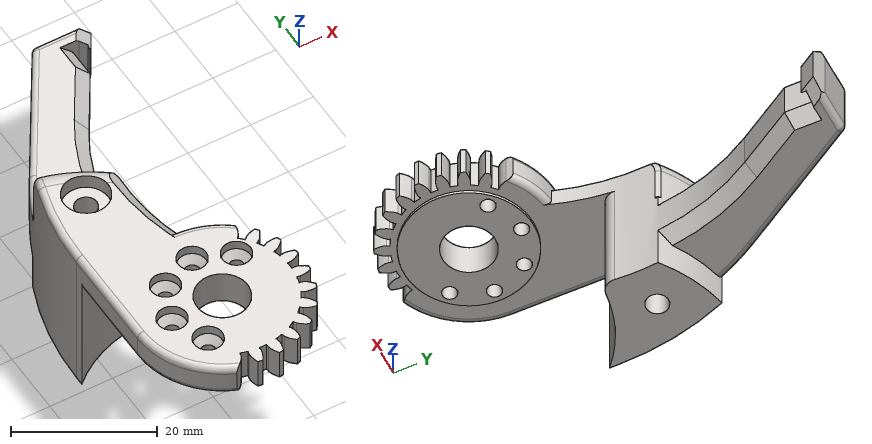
import cadquery as cq
import math

PLATE_T = 5.0
BOSS_BOTTOM = -5.5
FINGER_TOP = -9.9
FINGER_BOTTOM = -19.4
BLOCK_BOTTOM = -24.5

MODULE = 1.0
TEETH = 24
PRESSURE_ANGLE = math.radians(20)
PITCH_R = MODULE * TEETH / 2
TIP_R = PITCH_R + MODULE
DEDENDUM = 1.25 * MODULE
ROOT_R = PITCH_R - DEDENDUM
BASE_R = PITCH_R * math.cos(PRESSURE_ANGLE)
TOOTH_PITCH = 360 / TEETH
FLANK_POINTS = 5
SECTOR_START = -7.5 * TOOTH_PITCH
SECTOR_END = 3.5 * TOOTH_PITCH

CHEEK_R = 13.5
BORE_D = 8.0
BOSS_D = 19.6
SCREW_CIRCLE_R = 8.0
SCREW_ANGLES = (45, 90, 135, 180, 225)
SCREW_D = 2.2
SCREW_HEAD_D = 4.4
SCREW_HEAD_DEPTH = 1.5
SCREW_CONE_DEPTH = (SCREW_HEAD_D - SCREW_D) / 2

FINGER_LEAN = math.radians(32)
BACK_ARC_START_Y = 16.2
BACK_ARC_R = 45.0
BACK_ARC_CX = BACK_ARC_R - CHEEK_R

INNER_ARC_R = 37.0
INNER_ARC_CX = 36.9
INNER_ARC_CY = 24.9

TIP_Y = 60.0
TIP_BEVEL_X = 12.4
TIP_X = 14.86
NOTCH_LEFT_X = 10.95
NOTCH_TOP_Y = 57.85
NOTCH_BEND_X = 11.97
HOOK_THROAT = (13.25, 57.6)
BARB_POINT = (13.07, 56.75)

NEAR_END_R = 20.0
FAR_END_R = 25.0
FAR_END_CX = -15.4
FAR_END_CY = 9.1
FAR_TOP_ROUND = 4.0
BOLT_X = -6.35
BOLT_Y = 25.5
BOLT_D = 3.4
BOLT_HEAD_D = 7.0
BOLT_HEAD_DEPTH = 2.5
NEAR_CORNER_R = 2.0
FAR_CORNER_BEVEL = 0.5

BACK_ROUND = 1.0
INNER_BEVEL = 2.0
FINGER_ROOT_Y = 24.0

NOTCH_REACH = 8.0
CLEAR = 100.0
TOLERANCE = 0.01


def half_tooth(radius):
    """Half of a tooth's angular width, in degrees, where its involute flanks reach this radius."""
    half_at_base = math.pi / (2 * TEETH) + math.tan(PRESSURE_ANGLE) - PRESSURE_ANGLE
    roll = math.sqrt(max((radius / BASE_R) ** 2 - 1, 0))
    return math.degrees(half_at_base - (roll - math.atan(roll)))


TEETH_START = SECTOR_START + half_tooth(CHEEK_R - BACK_ROUND)
TEETH_END = SECTOR_END - half_tooth(CHEEK_R - BACK_ROUND)


def polar(radius, degrees, cx=0.0, cy=0.0):
    angle = math.radians(degrees)
    return (cx + radius * math.cos(angle), cy + radius * math.sin(angle))


def back_arc(lean):
    return (
        BACK_ARC_CX - BACK_ARC_R * math.cos(lean),
        BACK_ARC_START_Y + BACK_ARC_R * math.sin(lean),
    )


def inner_arc(lean):
    return (
        INNER_ARC_CX - INNER_ARC_R * math.cos(lean),
        INNER_ARC_CY + INNER_ARC_R * math.sin(lean),
    )


def along_finger_to_y(start, y):
    return (start[0] + (y - start[1]) * math.tan(FINGER_LEAN), y)


def along_finger_to_x(start, x):
    return (x, start[1] + (x - start[0]) / math.tan(FINGER_LEAN))


def cheek_meets_inner_arc():
    """Lean angle at which the inner arc crosses the cheek circle, and the crossing's polar angle."""
    distance = math.hypot(INNER_ARC_CX, INNER_ARC_CY)
    to_inner = math.atan2(INNER_ARC_CY, INNER_ARC_CX)
    cosine = (CHEEK_R**2 + distance**2 - INNER_ARC_R**2) / (2 * CHEEK_R * distance)
    polar_angle = to_inner + math.acos(cosine)
    y = CHEEK_R * math.sin(polar_angle)
    return math.asin((y - INNER_ARC_CY) / INNER_ARC_R), math.degrees(polar_angle)


def prism(outline, bottom, top):
    return outline.extrude(top - bottom).translate((0, 0, bottom))


def cylinder(radius, bottom, top, cx=0.0, cy=0.0):
    return prism(cq.Workplane("XY").center(cx, cy).circle(radius), bottom, top)


def edges_where(solid, accept):
    """Edges whose midpoint is accepted."""
    picked = [e for e in solid.edges().vals() if accept(e.positionAt(0.5))]
    return solid.newObject(picked)


def on_circle(p, radius, cx=0.0, cy=0.0):
    return abs(math.hypot(p.x - cx, p.y - cy) - radius) < TOLERANCE


def at_level(p, z):
    return abs(p.z - z) < TOLERANCE


def on_back(p):
    """True on the rim of the cheek and on the back edge up to the finger's straight stretch."""
    if p.y < BACK_ARC_START_Y:
        return on_circle(p, CHEEK_R) or abs(p.x + CHEEK_R) < TOLERANCE
    return on_circle(p, BACK_ARC_R, BACK_ARC_CX, BACK_ARC_START_Y)


def on_inner_arc(p):
    return on_circle(p, INNER_ARC_R, INNER_ARC_CX, INNER_ARC_CY)


def body_outline():
    crossing_lean, crossing_angle = cheek_meets_inner_arc()
    return (
        cq.Workplane("XY")
        .moveTo(-CHEEK_R, 0)
        .lineTo(-CHEEK_R, BACK_ARC_START_Y)
        .threePointArc(back_arc(FINGER_LEAN / 2), back_arc(FINGER_LEAN))
        .lineTo(*inner_arc(FINGER_LEAN))
        .threePointArc(inner_arc((FINGER_LEAN + crossing_lean) / 2), inner_arc(crossing_lean))
        .threePointArc(polar(CHEEK_R, (crossing_angle + SECTOR_END) / 2), polar(CHEEK_R, SECTOR_END))
        .lineTo(*polar(CHEEK_R - BACK_ROUND, TEETH_END))
        .lineTo(0, 0)
        .lineTo(*polar(CHEEK_R - BACK_ROUND, TEETH_START))
        .lineTo(*polar(CHEEK_R, SECTOR_START))
        .threePointArc(polar(CHEEK_R, (SECTOR_START - 180) / 2), (-CHEEK_R, 0))
        .close()
    )


def beyond_far_end():
    slab = prism(
        cq.Workplane("XY").center(0, FINGER_ROOT_Y + CLEAR / 2).rect(CLEAR, CLEAR), BLOCK_BOTTOM, 0
    )
    return slab.cut(cylinder(FAR_END_R, BLOCK_BOTTOM, 0, FAR_END_CX, FAR_END_CY))


def make_body():
    """Plate and the part of the block above the finger, with rounded back and bevelled inner edges."""
    body = prism(body_outline(), FINGER_TOP, 0).cut(beyond_far_end())
    body = body.cut(cylinder(NEAR_END_R, FINGER_TOP, -PLATE_T))

    def on_top_inner_edge(p):
        return on_inner_arc(p) and at_level(p, 0)

    def on_top_of_far_end(p):
        return at_level(p, 0) and on_circle(p, FAR_END_R, FAR_END_CX, FAR_END_CY)

    def on_rounded_edge(p):
        if not on_back(p) or at_level(p, FINGER_TOP):
            return False
        on_far_end = p.y > FINGER_ROOT_Y
        on_plate_underside = at_level(p, -PLATE_T) and p.y < BACK_ARC_START_Y - TOLERANCE
        return at_level(p, 0) or on_plate_underside or on_far_end

    def on_far_inner_corner(p):
        return on_inner_arc(p) and on_circle(p, FAR_END_R, FAR_END_CX, FAR_END_CY)

    body = edges_where(body, on_top_inner_edge).chamfer(INNER_BEVEL)
    body = edges_where(body, on_top_of_far_end).fillet(FAR_TOP_ROUND)
    body = edges_where(body, on_far_inner_corner).chamfer(FAR_CORNER_BEVEL)
    return edges_where(body, on_rounded_edge).fillet(BACK_ROUND)


def make_lower_block():
    """Part of the block at and below the finger, square at its far end."""
    block = prism(body_outline(), BLOCK_BOTTOM, FINGER_TOP).cut(beyond_far_end())
    return block.cut(cylinder(NEAR_END_R, BLOCK_BOTTOM, FINGER_TOP))


def make_plate_and_block():
    """Plate and whole block, with the upright edge between near end and inner arc rounded."""
    joined = make_body().union(make_lower_block())

    def on_near_corner(p):
        return on_inner_arc(p) and on_circle(p, NEAR_END_R) and BLOCK_BOTTOM < p.z < -PLATE_T

    return edges_where(joined, on_near_corner).fillet(NEAR_CORNER_R)


def make_finger():
    """Finger with a hooked tip, its root buried in the block."""
    back_start = back_arc(FINGER_LEAN)
    inner_start = inner_arc(FINGER_LEAN)
    root_lean = math.asin((FINGER_ROOT_Y - BACK_ARC_START_Y) / BACK_ARC_R)
    inner_root_lean = math.asin((FINGER_ROOT_Y - INNER_ARC_CY) / INNER_ARC_R)
    outline = (
        cq.Workplane("XY")
        .moveTo(*back_arc(root_lean))
        .threePointArc(back_arc((root_lean + FINGER_LEAN) / 2), back_start)
        .lineTo(*along_finger_to_y(back_start, TIP_Y))
        .lineTo(TIP_BEVEL_X, TIP_Y)
        .lineTo(*along_finger_to_x(inner_start, TIP_X))
        .lineTo(*inner_start)
        .threePointArc(inner_arc((inner_root_lean + FINGER_LEAN) / 2), inner_arc(inner_root_lean))
        .close()
    )
    finger = prism(outline, FINGER_BOTTOM, FINGER_TOP)

    def on_level_face(p):
        return at_level(p, FINGER_TOP) or at_level(p, FINGER_BOTTOM)

    def on_inner_side(p):
        on_straight = abs(p.x - along_finger_to_y(inner_start, p.y)[0]) < TOLERANCE
        return on_level_face(p) and (on_inner_arc(p) or on_straight)

    def on_back_or_tip(p):
        on_straight = abs(p.x - along_finger_to_y(back_start, p.y)[0]) < TOLERANCE
        on_tip = abs(p.y - TIP_Y) < TOLERANCE and p.x < TIP_BEVEL_X - TOLERANCE
        if on_level_face(p):
            return on_back(p) or on_straight or on_tip
        return on_straight and on_tip

    finger = edges_where(finger, on_inner_side).chamfer(INNER_BEVEL)
    finger = edges_where(finger, on_back_or_tip).fillet(BACK_ROUND)
    return finger.cut(make_notch())


def make_notch():
    """Slot that leaves the hook at the fingertip; its wall toward the back edge is bevelled."""
    barb_end = along_finger_to_y(inner_arc(FINGER_LEAN), BARB_POINT[1])
    hook_side = (
        cq.Workplane("XY")
        .moveTo(NOTCH_LEFT_X, NOTCH_TOP_Y)
        .lineTo(NOTCH_BEND_X, NOTCH_TOP_Y)
        .lineTo(*HOOK_THROAT)
        .lineTo(*BARB_POINT)
        .lineTo(*barb_end)
        .lineTo(barb_end[0], barb_end[1] - NOTCH_REACH)
        .lineTo(NOTCH_LEFT_X, barb_end[1] - NOTCH_REACH)
        .close()
    )
    bevelled_wall = (
        cq.Workplane("XZ", origin=(0, NOTCH_TOP_Y, 0))
        .moveTo(NOTCH_LEFT_X - INNER_BEVEL, FINGER_TOP)
        .lineTo(NOTCH_LEFT_X, FINGER_TOP - INNER_BEVEL)
        .lineTo(NOTCH_LEFT_X, FINGER_BOTTOM + INNER_BEVEL)
        .lineTo(NOTCH_LEFT_X - INNER_BEVEL, FINGER_BOTTOM)
        .lineTo(NOTCH_BEND_X, FINGER_BOTTOM)
        .lineTo(NOTCH_BEND_X, FINGER_TOP)
        .close()
        .extrude(NOTCH_REACH)
    )
    return prism(hook_side, FINGER_BOTTOM, FINGER_TOP).union(bevelled_wall)


def involute_flank(tooth_angle, side):
    """Points of one flank from the base circle to the tip; side is -1 or 1."""
    points = []
    for i in range(FLANK_POINTS):
        radius = BASE_R + (TIP_R - BASE_R) * i / (FLANK_POINTS - 1)
        points.append(polar(radius, tooth_angle + side * half_tooth(radius)))
    return points


def make_gear_sector():
    """Toothed part of the rim; a half tooth at each end runs into the cheek."""
    gear = cylinder(ROOT_R, -PLATE_T, 0)
    for i in range(round((SECTOR_END - SECTOR_START) / TOOTH_PITCH) + 1):
        angle = SECTOR_START + i * TOOTH_PITCH
        rising = involute_flank(angle, -1)
        falling = involute_flank(angle, 1)[::-1]
        tooth = (
            cq.Workplane("XY")
            .lineTo(*rising[0])
            .spline(rising[1:], includeCurrent=True)
            .threePointArc(polar(TIP_R, angle), falling[0])
            .spline(falling[1:], includeCurrent=True)
            .close()
        )
        gear = gear.union(prism(tooth, -PLATE_T, 0))
    sector = (
        cq.Workplane("XY")
        .lineTo(*polar(CHEEK_R, TEETH_START))
        .threePointArc(polar(CHEEK_R, (TEETH_START + TEETH_END) / 2), polar(CHEEK_R, TEETH_END))
        .close()
    )
    return gear.intersect(prism(sector, -PLATE_T, 0))


def screw_hole(x, y):
    """Sunk screw hole with a conical seat."""
    seat = -SCREW_HEAD_DEPTH
    neck = seat - SCREW_CONE_DEPTH
    half_profile = (
        cq.Workplane("XZ")
        .lineTo(SCREW_HEAD_D / 2, 0)
        .lineTo(SCREW_HEAD_D / 2, seat)
        .lineTo(SCREW_D / 2, neck)
        .lineTo(SCREW_D / 2, BOSS_BOTTOM)
        .lineTo(0, BOSS_BOTTOM)
        .close()
    )
    return half_profile.revolve(360, (0, 0, 0), (0, 1, 0)).translate((x, y, 0))


def bolt_hole():
    """Counterbored hole through the full height of the block."""
    shank = cylinder(BOLT_D / 2, BLOCK_BOTTOM, 0, BOLT_X, BOLT_Y)
    return shank.union(cylinder(BOLT_HEAD_D / 2, -BOLT_HEAD_DEPTH, 0, BOLT_X, BOLT_Y))


result = make_plate_and_block().union(make_finger()).union(make_gear_sector())
result = result.union(cylinder(BOSS_D / 2, BOSS_BOTTOM, -PLATE_T))
result = result.cut(cylinder(BORE_D / 2, BOSS_BOTTOM, 0))
for screw_angle in SCREW_ANGLES:
    result = result.cut(screw_hole(*polar(SCREW_CIRCLE_R, screw_angle)))
result = result.cut(bolt_hole())